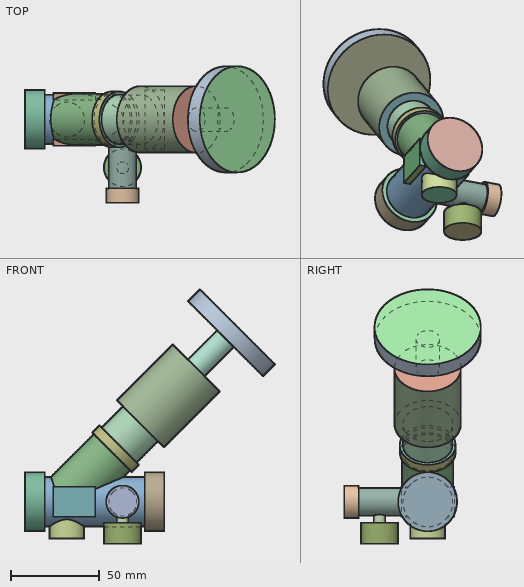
import cadquery as cq

pipe_length = 78.7
pipe_diameter = 28.0
flange_diameter = 33.3
flange_length = 11.2

block_start = 16.0
block_length = 23.7
block_width = 29.9
block_height = 17.0

drain_x = 23.5
drain_diameter = 19.7
drain_bottom = -20.8

port_x = 55.0
port_diameter = 15.8
port_cap_diameter = 18.4
port_end = 47.1
port_cap_length = 8.2

knob_y = -27.1
knob_stem_diameter = 6.6
knob_diameter = 21.1
knob_top = -11.8
knob_bottom = -23.7

bonnet_x = 21.1
bonnet_angle = 45
branch_diameter = 29.0
collar_diameter = 31.6
collar_start = 39.5
collar_end = 45.2
neck_diameter = 28.0
body_diameter = 37.6
body_start = 62.2
body_end = 106.8
spindle_diameter = 13.4
wheel_diameter = 60.0
wheel_thickness = 9.5
wheel_end = 139.5


def cylinder(base, direction, diameter, start, end):
    """Cylinder between two distances from base along direction."""
    plane = cq.Plane(origin=base, normal=direction)
    return cq.Workplane(plane).workplane(offset=start).circle(diameter / 2).extrude(end - start)


def main_pipe():
    origin = (0, 0, 0)
    along_x = (1, 0, 0)
    pipe = cylinder(origin, along_x, pipe_diameter, 0, pipe_length)
    for start in (0, pipe_length - flange_length):
        pipe = pipe.union(cylinder(origin, along_x, flange_diameter, start, start + flange_length))
    block = cq.Workplane("XY").box(block_length, block_width, block_height)
    return pipe.union(block.translate((block_start + block_length / 2, 0, 0)))


def drain_boss():
    return cylinder((drain_x, 0, 0), (0, 0, -1), drain_diameter, 0, -drain_bottom)


def side_port():
    base = (port_x, 0, 0)
    outward = (0, -1, 0)
    port = cylinder(base, outward, port_diameter, 0, port_end)
    return port.union(cylinder(base, outward, port_cap_diameter, port_end - port_cap_length, port_end))


def knob():
    base = (port_x, knob_y, 0)
    down = (0, 0, -1)
    stem = cylinder(base, down, knob_stem_diameter, 0, -knob_bottom)
    return stem.union(cylinder(base, down, knob_diameter, -knob_top, -knob_bottom))


def bonnet():
    sections = (
        (branch_diameter, 0, collar_start),
        (collar_diameter, collar_start, collar_end),
        (neck_diameter, collar_end, body_start),
        (body_diameter, body_start, body_end),
        (spindle_diameter, body_end, wheel_end - wheel_thickness),
        (wheel_diameter, wheel_end - wheel_thickness, wheel_end),
    )
    stack = cq.Workplane("XY")
    for diameter, start, end in sections:
        stack = stack.union(cylinder((0, 0, 0), (0, 0, 1), diameter, start, end))
    tilted = stack.rotate((0, 0, 0), (0, 1, 0), 90 - bonnet_angle)
    return tilted.translate((bonnet_x, 0, 0))


result = main_pipe()
for feature in (drain_boss(), side_port(), knob(), bonnet()):
    result = result.union(feature)